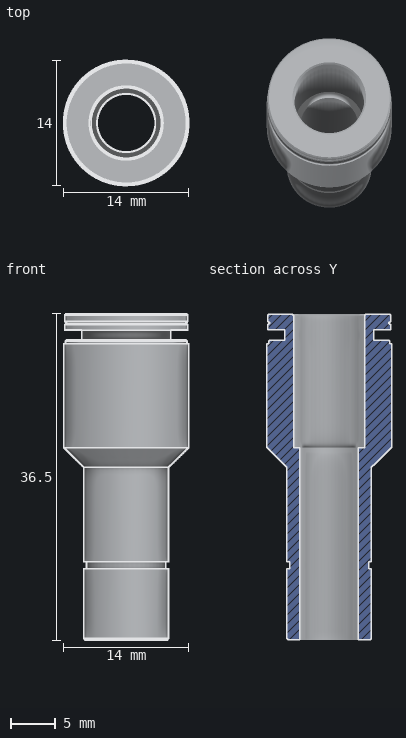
import cadquery as cq

total_height = 36.5
cap_groove_top = 35.65
cap_groove_bottom = 35.3
cap_bottom = 34.68
rim_top = 33.58
sleeve_top = 33.18
sleeve_bottom = 21.55
cone_bottom = 19.35
stem_groove_top = 8.75
stem_groove_bottom = 8.0
socket_floor = sleeve_bottom

sleeve_diameter = 14.0
rim_diameter = 13.6
cap_diameter = 13.8
neck_diameter = 10.0
stem_diameter = 9.53
stem_groove_diameter = 8.9
socket_diameter = 7.9
bore_diameter = 6.5

cap_chamfer = 0.15
cap_groove_depth = 0.22
rim_chamfer = 0.15
stem_chamfer = 0.2
socket_chamfer = 0.2


def disc(diameter, bottom, top):
    """Solid cylinder on the Z axis between two heights."""
    return cq.Workplane("XY").workplane(offset=bottom).circle(diameter / 2).extrude(top - bottom)


def frustum(bottom_diameter, top_diameter, bottom, top):
    """Solid cone section on the Z axis between two heights."""
    outline = [(0, bottom), (bottom_diameter / 2, bottom), (top_diameter / 2, top), (0, top)]
    return cq.Workplane("XZ").polyline(outline).close().revolve(360, (0, 0, 0), (0, 1, 0))


def make_stem():
    """Plug-in stem with a chamfered end and a shallow ring groove."""
    stem = disc(stem_diameter, 0, cone_bottom).faces("<Z").chamfer(stem_chamfer)
    ring = disc(stem_diameter, stem_groove_bottom, stem_groove_top)
    ring = ring.cut(disc(stem_groove_diameter, stem_groove_bottom, stem_groove_top))
    return stem.cut(ring)


def make_sleeve():
    """Wide body that tapers down to the stem, with a chamfered rim stepped in at its top."""
    taper = frustum(stem_diameter, sleeve_diameter, cone_bottom, sleeve_bottom)
    body = disc(sleeve_diameter, sleeve_bottom, sleeve_top)
    rim = disc(rim_diameter, sleeve_top, rim_top).faces(">Z").chamfer(rim_chamfer)
    return taper.union(body).union(rim)


def make_release_cap():
    """Release collar: a neck under two flanges parted by a V groove."""
    groove_diameter = cap_diameter - 2 * cap_groove_depth
    neck = disc(neck_diameter, rim_top, cap_bottom)
    lower_flange = disc(cap_diameter, cap_bottom, cap_groove_bottom)
    groove_middle = (cap_groove_bottom + cap_groove_top) / 2
    lower_slope = frustum(cap_diameter, groove_diameter, cap_groove_bottom, groove_middle)
    upper_slope = frustum(groove_diameter, cap_diameter, groove_middle, cap_groove_top)
    upper_flange = disc(cap_diameter, cap_groove_top, total_height).faces(">Z").chamfer(cap_chamfer)
    return neck.union(lower_flange).union(lower_slope).union(upper_slope).union(upper_flange)


def make_passage():
    """Through bore, wider tube socket and the socket's lead-in chamfer."""
    lead_in_diameter = socket_diameter + 2 * socket_chamfer
    bore = disc(bore_diameter, 0, total_height)
    socket = disc(socket_diameter, socket_floor, total_height)
    lead_in = frustum(socket_diameter, lead_in_diameter, total_height - socket_chamfer, total_height)
    return bore.union(socket).union(lead_in)


result = make_stem().union(make_sleeve()).union(make_release_cap()).cut(make_passage())